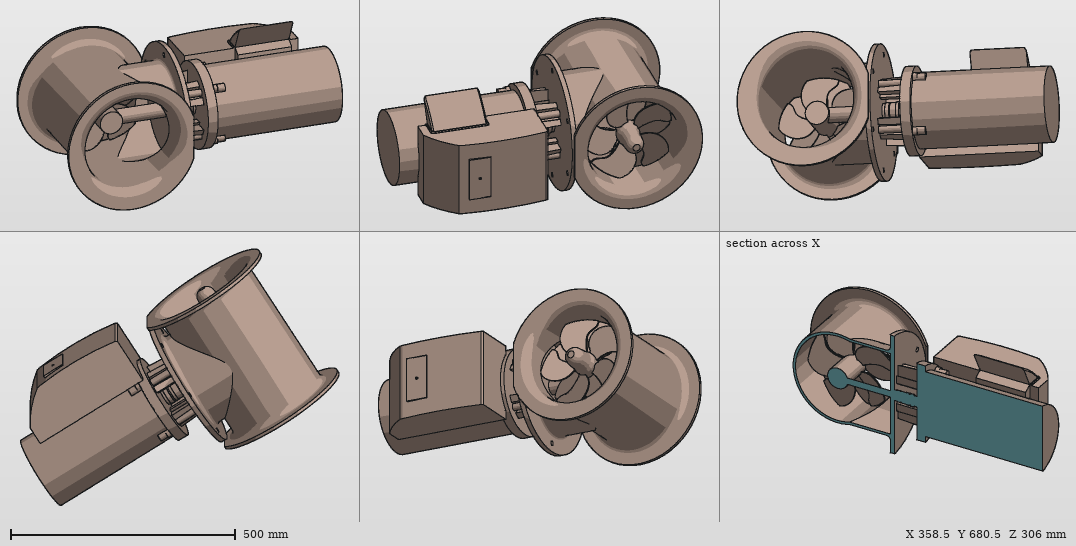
import cadquery as cq
import math


duct_half_length = 165.0
duct_outer_radius = 231.0 / 2
wall = 7.5
duct_bore_radius = duct_outer_radius - wall
flare_outer_radius = 15.0
flare_inner_radius = flare_outer_radius + wall
duct_flange_radius = 153.0
duct_flange_flat_y = 144.0

branch_radius = 111.5
branch_flange_radius = duct_flange_radius
branch_flange_bottom = 135.0
branch_flange_top = 146.0
branch_fillet = 9.5
flange_hole_diameter = 10.0
flange_hole_circle_radius = 133.0
flange_hole_count = 6

motor_flange_bottom = 203.0
motor_flange_top = 226.0
motor_flange_diameter = 200.0
lantern_base_radius = 75.0
lantern_top_radius = 78.0
lantern_wall = 30.0
lantern_window_width = 61.0
sleeve_diameter = 102.0
sleeve_bore_diameter = 70.0
sleeve_window_width = 46.0
stud_channel_diameter = 27.0
stud_diameter = 16.0
stud_offset = 52.5
coupling_shaft_diameter = 41.0
coupling_rings = [(43.0, 152.5, 161.0), (43.0, 163.0, 177.0), (45.0, 177.0, 184.0), (45.0, 187.0, 197.0)]

motor_diameter = 171.0
motor_end = 527.5
bolt_offset = 60.5
bolt_boss_diameter = 19.0
bolt_boss_height = 28.5
nut_diameter = 16.0
nut_height = 10.0
nut_offset = 63.0

housing_half_height = 87.0
housing_inner_x = -75.0
housing_bottom_y = 211.5
housing_top_y = 482.0
housing_shoulder_x = -117.0
housing_upper_bow = (-158.0, 451.0)
housing_upper_corner = (-185.0, 420.0)
housing_face_top = (-187.0, 412.0)
housing_face_bow = (-192.0, 326.5)
housing_face_bottom = (-183.0, 216.5)
housing_bottom_corner_x = -180.0
overall_width = 358.5
plate_face_x = duct_half_length - overall_width
plate_depth = 13.5
plate_center_y = 373.0
plate_width = 50.0
plate_height = 101.0
plate_hole_diameter = 5.0
plate_hole_depth = 3.5

terminal_bottom_y = 331.5
terminal_top_y = 459.5
terminal_outer_x = -113.0
terminal_peak_x = -45.5
terminal_peak_z = 145.0
terminal_cover_bulge = 4.0
terminal_chamfer = 3.5
terminal_lip = 4.0
terminal_lip_height = 3.0
terminal_lip_chamfer = 2.0
terminal_lip_corner = 7.0
neck_inner_x = -56.0
neck_low_z = 54.5
neck_high_z = 78.0

nose_x = -163.0
nose_tip_radius = 16.0 / 2
nose_radius = 43.0 / 2
nose_length = 20.5
nose_bow = (-157.0, 17.0)
hub_start_x = -113.0
hub_start_radius = 24.0
hub_radius = 26.5
hub_full_x = -102.0
hub_end_x = 27.0
column_diameter = 34.0
blade_count = 5
blade_tip_radius = 106.0
blade_root_radius = 20.5
blade_root_corner_y = 16.0
blade_leading_start = (30.0, 24.5)
blade_leading_edge = [(50.5, 44.0), (54.0, 67.0)]
blade_leading_tip_y = 41.5
blade_trailing_tip_y = -24.5
blade_trailing_edge = [(-20.5, 90.0), (-5.5, 75.5), (0.0, 60.0)]
blade_trailing_root_y = -4.0
blade_thickness = 3.5
blade_pitch = 22.0
blade_center_x = -90.0
rear_blade_gap = 7.0


def y_cylinder(diameter, y_start, y_end, x=0.0, z=0.0):
    """Cylinder parallel to the motor axis."""
    circle = cq.Workplane("XZ", origin=(x, y_start, z)).circle(diameter / 2)
    return circle.extrude(y_start - y_end)


def corners(offset):
    """The four diagonal places around the motor axis."""
    return [(sx * offset, sz * offset) for sx in (-1, 1) for sz in (-1, 1)]


def make_flared_solid(radius, flare_radius, end_x):
    """Solid of revolution about the duct axis that flares out to both ends."""
    straight_end = end_x - flare_radius
    rim_radius = radius + flare_radius
    diagonal = flare_radius * math.sqrt(0.5)
    arc_middle_x = straight_end + diagonal
    arc_middle_radius = rim_radius - diagonal
    return (
        cq.Workplane("XY")
        .moveTo(-end_x, 0)
        .lineTo(-end_x, rim_radius)
        .threePointArc((-arc_middle_x, arc_middle_radius), (-straight_end, radius))
        .lineTo(straight_end, radius)
        .threePointArc((arc_middle_x, arc_middle_radius), (end_x, rim_radius))
        .lineTo(end_x, 0)
        .close()
        .revolve(360, (0, 0, 0), (1, 0, 0))
    )


def make_duct_body():
    """Outside of the duct, with a flange at each end cut flat towards the motor."""
    flange_back = duct_half_length - wall
    body = make_flared_solid(duct_outer_radius, flare_outer_radius, flange_back)
    for start_x in (-duct_half_length, flange_back):
        flange = cq.Workplane("YZ", origin=(start_x, 0, 0)).circle(duct_flange_radius).extrude(wall)
        body = body.union(flange)
    size = 4 * duct_flange_radius
    beyond_flat = cq.Workplane("XY").box(size, size, size).translate((0, duct_flange_flat_y + size / 2, 0))
    return body.cut(beyond_flat)


def make_duct_bore():
    """Inside of the duct, widening to a rounded mouth at each end."""
    return make_flared_solid(duct_bore_radius, flare_inner_radius, duct_half_length)


def make_branch():
    """Branch pipe growing with a fillet into its flange."""
    diagonal = branch_fillet * math.sqrt(0.5)
    fillet_start = branch_flange_bottom - branch_fillet
    fillet_radius = branch_radius + branch_fillet
    fillet_middle = (fillet_radius - diagonal, fillet_start + diagonal)
    branch = (
        cq.Workplane("XY")
        .lineTo(branch_radius, 0)
        .lineTo(branch_radius, fillet_start)
        .threePointArc(fillet_middle, (fillet_radius, branch_flange_bottom))
        .lineTo(branch_flange_radius, branch_flange_bottom)
        .lineTo(branch_flange_radius, branch_flange_top)
        .lineTo(0, branch_flange_top)
        .close()
        .revolve(360, (0, 0, 0), (0, 1, 0))
    )
    for index in range(flange_hole_count):
        angle = math.radians(90 + index * 360 / flange_hole_count)
        x = flange_hole_circle_radius * math.cos(angle)
        z = flange_hole_circle_radius * math.sin(angle)
        branch = branch.cut(y_cylinder(flange_hole_diameter, branch_flange_bottom, branch_flange_top, x, z))
    return branch


def make_housing_shell():
    """Duct and branch, hollowed out."""
    branch_bore = y_cylinder(2 * (branch_radius - wall), 0, branch_flange_bottom)
    return make_duct_body().union(make_branch()).cut(make_duct_bore()).cut(branch_bore)


def cut_windows(ring, width):
    """Open four windows through a ring that stands between the two flanges."""
    height = motor_flange_bottom - branch_flange_top
    center = (0, branch_flange_top + height / 2, 0)
    length = 4 * lantern_top_radius
    along_x = cq.Workplane("XY").box(length, height, width).translate(center)
    along_z = cq.Workplane("XY").box(width, height, length).translate(center)
    return ring.cut(along_x).cut(along_z)


def make_lantern():
    """Tapered posts around a slotted sleeve, with a stud sunk into each post."""
    bottom = branch_flange_top
    top = motor_flange_bottom
    posts = (
        cq.Workplane("XY")
        .moveTo(lantern_base_radius - lantern_wall, bottom)
        .lineTo(lantern_base_radius, bottom)
        .lineTo(lantern_top_radius, top)
        .lineTo(lantern_top_radius - lantern_wall, top)
        .close()
        .revolve(360, (0, 0, 0), (0, 1, 0))
    )
    sleeve = y_cylinder(sleeve_diameter, bottom, top).cut(y_cylinder(sleeve_bore_diameter, bottom, top))
    lantern = cut_windows(posts, lantern_window_width).union(cut_windows(sleeve, sleeve_window_width))
    for x, z in corners(stud_offset):
        lantern = lantern.cut(y_cylinder(stud_channel_diameter, bottom, top, x, z))
        lantern = lantern.union(y_cylinder(stud_diameter, bottom, top, x, z))
    return lantern


def make_coupling():
    """Ringed shaft coupling inside the lantern."""
    coupling = y_cylinder(coupling_shaft_diameter, branch_flange_top, motor_flange_bottom)
    for diameter, start, end in coupling_rings:
        coupling = coupling.union(y_cylinder(diameter, start, end))
    return coupling


def make_motor():
    """Motor barrel with mounting flange and four bolted bosses."""
    motor = y_cylinder(motor_flange_diameter, motor_flange_bottom, motor_flange_top)
    motor = motor.union(y_cylinder(motor_diameter, motor_flange_bottom, motor_end))
    boss_top = motor_flange_top + bolt_boss_height
    nut_top = motor_flange_top + nut_height
    for x, z in corners(bolt_offset):
        motor = motor.union(y_cylinder(bolt_boss_diameter, motor_flange_bottom, boss_top, x, z))
    for x, z in corners(nut_offset):
        motor = motor.union(y_cylinder(nut_diameter, motor_flange_bottom, nut_top, x, z))
    return motor


def make_control_housing():
    """Bowed housing beside the motor and its raised name plate."""
    housing = (
        cq.Workplane("XY", origin=(0, 0, -housing_half_height))
        .moveTo(housing_inner_x, housing_bottom_y)
        .lineTo(housing_inner_x, housing_top_y)
        .lineTo(housing_shoulder_x, housing_top_y)
        .threePointArc(housing_upper_bow, housing_upper_corner)
        .lineTo(*housing_face_top)
        .threePointArc(housing_face_bow, housing_face_bottom)
        .lineTo(housing_bottom_corner_x, housing_bottom_y)
        .close()
        .extrude(2 * housing_half_height)
    )
    plate_face = cq.Workplane("YZ", origin=(plate_face_x, plate_center_y, 0))
    plate = plate_face.rect(plate_width, plate_height).extrude(plate_depth)
    hole = plate_face.circle(plate_hole_diameter / 2).extrude(plate_hole_depth)
    return housing.union(plate).cut(hole)


def make_terminal_box():
    """Wedge on the control housing with a bowed cover, a sloped lip at its foot and a neck to the motor."""
    foot = housing_half_height
    cover_foot = foot + terminal_lip_height
    length = terminal_top_y - terminal_bottom_y
    cover_width = terminal_peak_x - terminal_outer_x
    cover_height = terminal_peak_z - cover_foot
    bulge_ratio = terminal_cover_bulge / math.hypot(cover_width, cover_height)
    cover_middle = (
        terminal_outer_x + cover_width / 2 - cover_height * bulge_ratio,
        cover_foot + cover_height / 2 + cover_width * bulge_ratio,
    )
    end_plane = cq.Workplane("XZ", origin=(0, terminal_top_y, 0))
    box = (
        end_plane
        .moveTo(housing_inner_x, foot)
        .lineTo(terminal_outer_x, foot)
        .lineTo(terminal_outer_x, cover_foot)
        .threePointArc(cover_middle, (terminal_peak_x, terminal_peak_z))
        .close()
        .extrude(length)
        .edges("%CIRCLE")
        .chamfer(terminal_chamfer)
    )
    neck = (
        end_plane
        .moveTo(housing_inner_x, neck_low_z)
        .lineTo(housing_inner_x, cover_foot)
        .lineTo(neck_inner_x, neck_high_z)
        .lineTo(neck_inner_x, neck_low_z)
        .close()
        .extrude(length)
    )
    lip_start_x = terminal_outer_x - terminal_lip
    lip_width = housing_inner_x - lip_start_x
    lip_center = (lip_start_x + lip_width / 2, (terminal_bottom_y + terminal_top_y) / 2, foot)
    lip = (
        cq.Workplane("XY", origin=lip_center)
        .rect(lip_width, length + 2 * terminal_lip)
        .extrude(terminal_lip_height)
        .edges("|Z and <X")
        .fillet(terminal_lip_corner)
        .faces(">Z")
        .edges("<X or <Y or >Y")
        .chamfer(terminal_lip_chamfer)
    )
    return box.union(neck).union(lip)


def make_hub():
    """Domed nose, tapered hub and the column that carries it."""
    shoulder_x = nose_x + nose_length
    hub = (
        cq.Workplane("XY")
        .moveTo(nose_x, 0)
        .lineTo(nose_x, nose_tip_radius)
        .threePointArc(nose_bow, (shoulder_x, nose_radius))
        .lineTo(hub_start_x, hub_start_radius)
        .lineTo(hub_full_x, hub_radius)
        .lineTo(hub_end_x, hub_radius)
        .lineTo(hub_end_x, 0)
        .close()
        .revolve(360, (0, 0, 0), (1, 0, 0))
    )
    column_end = (branch_flange_bottom + branch_flange_top) / 2
    return hub.union(y_cylinder(column_diameter, 0, column_end))


def make_blade():
    """Flat pitched blade pointing to +Z: the outline is cut out of a tilted plate."""
    def tip(y):
        return (y, math.sqrt(blade_tip_radius ** 2 - y ** 2))

    depth = 2 * blade_tip_radius
    outline = (
        cq.Workplane("YZ", origin=(-depth / 2, 0, 0))
        .moveTo(blade_root_corner_y, blade_root_radius)
        .lineTo(*blade_leading_start)
        .spline([*blade_leading_edge, tip(blade_leading_tip_y)], includeCurrent=True)
        .threePointArc(tip(0), tip(blade_trailing_tip_y))
        .spline([*blade_trailing_edge, (blade_trailing_root_y, blade_root_radius)], includeCurrent=True)
        .close()
        .extrude(depth)
    )
    plate = cq.Workplane("XY").box(blade_thickness, 2 * depth, 2 * depth)
    plate = plate.rotate((0, 0, 0), (0, 0, 1), blade_pitch)
    return outline.intersect(plate)


def make_impeller():
    """Hub with pairs of blades; the rear blade of a pair sweeps the opposite way."""
    front = make_blade()
    rear = front.rotate((0, 0, 0), (0, 0, 1), 180)
    impeller = make_hub()
    for index in range(blade_count):
        angle = index * 360 / blade_count
        for blade, x in ((front, blade_center_x), (rear, blade_center_x + rear_blade_gap)):
            impeller = impeller.union(blade.rotate((0, 0, 0), (1, 0, 0), angle).translate((x, 0, 0)))
    return impeller


result = (
    make_housing_shell()
    .union(make_lantern())
    .union(make_coupling())
    .union(make_motor())
    .union(make_control_housing())
    .union(make_terminal_box())
    .union(make_impeller())
)